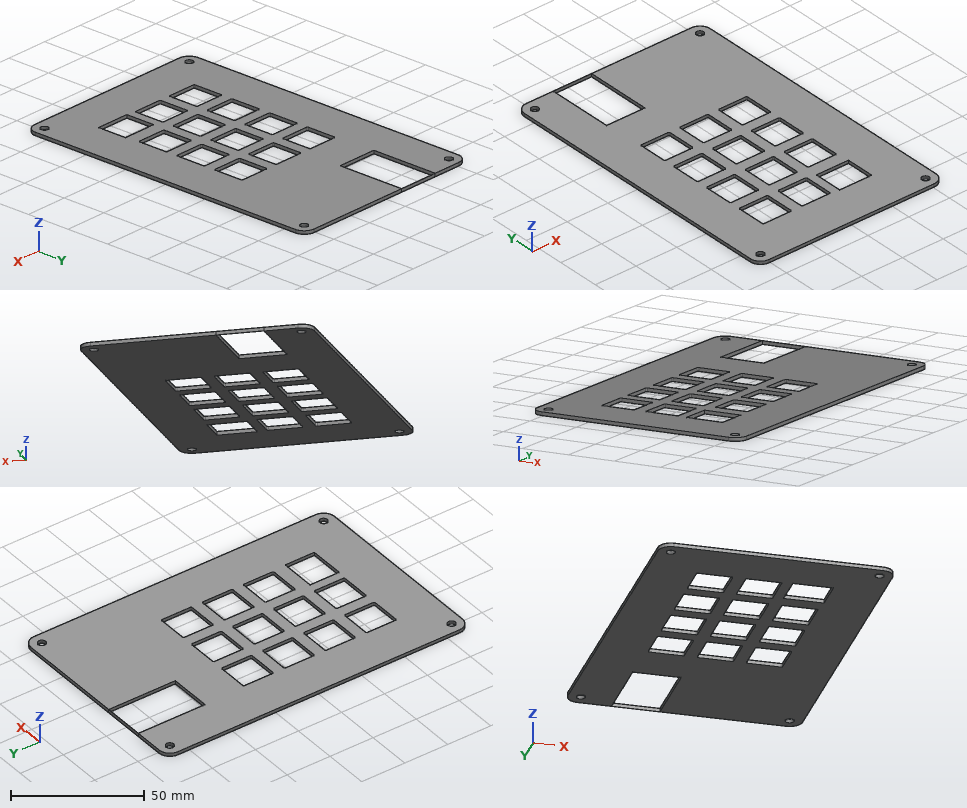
import cadquery as cq

PLATE_WIDTH = 91.0
PLATE_LENGTH = 141.0
PLATE_THICKNESS = 1.5
CORNER_RADIUS = 5.0

HOLE_DIAMETER = 3.4
HOLE_SPACING_X = PLATE_WIDTH - 2 * CORNER_RADIUS
HOLE_SPACING_Y = PLATE_LENGTH - 2 * CORNER_RADIUS

KEY_SIZE = 14.0
KEY_CORNER_RADIUS = 0.5
KEY_PITCH = 19.05
KEY_COLUMNS = 3
KEY_ROWS = 4
FIRST_KEY_X = -19.35
FIRST_KEY_Y = 13.86

WIDE_OPENING_WIDTH = 15.7
WIDE_OPENING_HEIGHT = 13.5
WIDE_OPENING_X = 18.6
WIDE_OPENING_Y = -44.1

WINDOW_LEFT_X = -27.3
WINDOW_WIDTH = 18.75
WINDOW_BOTTOM_Y = 39.5
WINDOW_EDGE_STRIP = 0.05


def make_plate():
    plate = cq.Workplane("XY").box(PLATE_WIDTH, PLATE_LENGTH, PLATE_THICKNESS)
    return plate.edges("|Z").fillet(CORNER_RADIUS)


def opening(width, height, x, y):
    """Rectangular cutter through the plate, centred at (x, y)."""
    return cq.Workplane("XY").box(width, height, 2 * PLATE_THICKNESS).translate((x, y, 0))


def mounting_holes():
    holes = cq.Workplane("XY").rect(HOLE_SPACING_X, HOLE_SPACING_Y, forConstruction=True).vertices()
    return holes.circle(HOLE_DIAMETER / 2).extrude(PLATE_THICKNESS, both=True)


def key_opening(column, row):
    x = FIRST_KEY_X + column * KEY_PITCH
    y = FIRST_KEY_Y - row * KEY_PITCH
    return opening(KEY_SIZE, KEY_SIZE, x, y).edges("|Z").fillet(KEY_CORNER_RADIUS)


def window_opening():
    height = PLATE_LENGTH / 2 - WINDOW_EDGE_STRIP - WINDOW_BOTTOM_Y
    center_x = WINDOW_LEFT_X + WINDOW_WIDTH / 2
    center_y = WINDOW_BOTTOM_Y + height / 2
    return opening(WINDOW_WIDTH, height, center_x, center_y)


def cut_key_openings(plate):
    """Cut the key grid, leaving out the last key of the last column."""
    last_place = (KEY_COLUMNS - 1, KEY_ROWS - 1)
    for column in range(KEY_COLUMNS):
        for row in range(KEY_ROWS):
            if (column, row) != last_place:
                plate = plate.cut(key_opening(column, row))
    return plate


def wide_opening():
    return opening(WIDE_OPENING_WIDTH, WIDE_OPENING_HEIGHT, WIDE_OPENING_X, WIDE_OPENING_Y)


result = make_plate()
result = result.cut(mounting_holes())
result = result.cut(window_opening())
result = cut_key_openings(result)
result = result.cut(wide_opening())